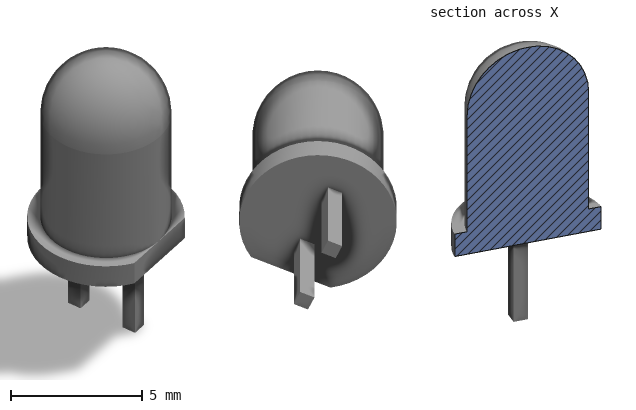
import cadquery as cq

total_height = 12.4
body_diameter = 5.0
flange_diameter = 6.0
flange_height = 1.0

lead_length = 3.8
lead_width = 0.6
lead_pitch = 2.54

body_radius = body_diameter / 2
flange_radius = flange_diameter / 2
dome_base = total_height - lead_length - body_radius


def make_lens():
    """Cylinder with a hemispherical top, revolved about Z."""
    diagonal = body_radius * 0.5 ** 0.5
    profile = (
        cq.Workplane("XZ")
        .lineTo(body_radius, 0)
        .lineTo(body_radius, dome_base)
        .threePointArc((diagonal, dome_base + diagonal), (0, dome_base + body_radius))
        .close()
    )
    return profile.revolve(360, (0, 0), (0, 1))


def make_flange():
    """Disc cut by a flat on +X that is tangent to the lens."""
    disc = cq.Workplane("XY").circle(flange_radius).extrude(flange_height)
    kept_length = flange_radius + body_radius
    kept_side = (
        cq.Workplane("XY")
        .center(body_radius - kept_length / 2, 0)
        .rect(kept_length, flange_diameter)
        .extrude(flange_height)
    )
    return disc.intersect(kept_side)


def make_leads():
    """Two square leads hanging below the flange."""
    return (
        cq.Workplane("XY")
        .rarray(lead_pitch, 0.12, 2, 1)
        .rect(lead_width, lead_width)
        .extrude(-lead_length)
    )


result = make_flange().union(make_lens()).union(make_leads())